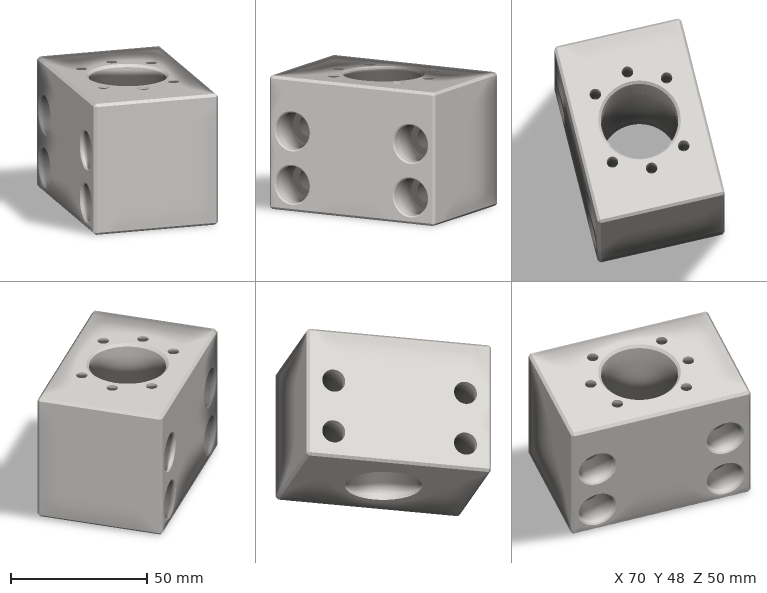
import cadquery as cq
import math

length = 70.0
width = 48.0
height = 50.0
edge_chamfer = 1.0

bore_diameter = 28.4
bore_chamfer = 1.0

blind_diameter = 4.2
blind_depth = 11.9
drill_point_angle = 118.0
bolt_circle_radius = 19.05
blind_hole_angles = (0, 45, 135, 180, 225, 315)

mount_spacing = 50.0
mount_heights = (10.0, 30.0)
mount_diameter = 8.7
counterbore_diameter = 14.0
counterbore_depth = 13.0
counterbore_chamfer = 0.5


def countersunk_cutter(origin, direction, diameter, depth, chamfer):
    """Cylinder entering a face, with a 45 degree flare at its mouth."""
    radius = diameter / 2
    cylinder = cq.Solid.makeCylinder(radius, depth, origin, direction)
    flare = cq.Solid.makeCone(radius + chamfer, radius, chamfer, origin, direction)
    return cylinder.fuse(flare)


def chamfered_block():
    block = cq.Workplane("XY").box(length, width, height, centered=(True, True, False))
    return block.edges().chamfer(edge_chamfer)


def cut_bore(body):
    down = cq.Vector(0, 0, -1)
    top_centre = cq.Vector(0, 0, height)
    return body.cut(countersunk_cutter(top_centre, down, bore_diameter, height, bore_chamfer))


def cut_blind_holes(body):
    down = cq.Vector(0, 0, -1)
    radius = blind_diameter / 2
    point_radius_ratio = math.tan(math.radians(drill_point_angle / 2))
    point_length = radius / point_radius_ratio
    for angle in blind_hole_angles:
        x = bolt_circle_radius * math.cos(math.radians(angle))
        y = bolt_circle_radius * math.sin(math.radians(angle))
        mouth = cq.Vector(x, y, height)
        floor = cq.Vector(x, y, height - blind_depth)
        body = body.cut(cq.Solid.makeCylinder(radius, blind_depth, mouth, down))
        body = body.cut(cq.Solid.makeCone(radius, 0, point_length, floor, down))
    return body


def cut_mounting_holes(body):
    inward = cq.Vector(0, 1, 0)
    for x in (-mount_spacing / 2, mount_spacing / 2):
        for z in mount_heights:
            mouth = cq.Vector(x, -width / 2, z)
            counterbore = countersunk_cutter(
                mouth, inward, counterbore_diameter, counterbore_depth, counterbore_chamfer
            )
            body = body.cut(cq.Solid.makeCylinder(mount_diameter / 2, width, mouth, inward))
            body = body.cut(counterbore)
    return body


result = chamfered_block()
result = cut_bore(result)
result = cut_blind_holes(result)
result = cut_mounting_holes(result)